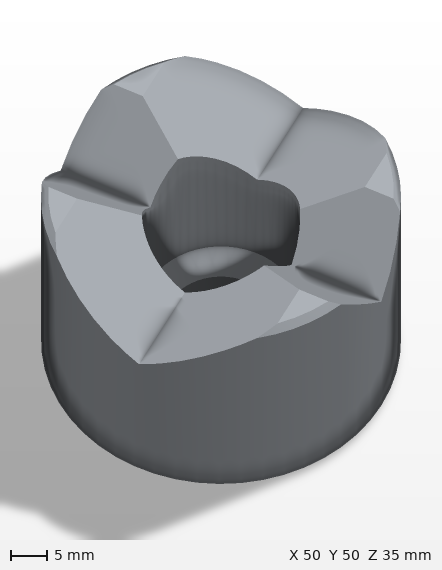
import cadquery as cq
import math

body_diameter = 50.0
body_height = 35.0
edge_chamfer = 1.0

groove_depth = 10.0
groove_angle_along_x = 90.0
groove_angle_along_y = 120.0

bore_diameter = 22.0
hole_diameter = 16.0
shoulder_angle = 90.0
shoulder_bottom_z = 5.0


def make_body():
    """Round post with both rims chamfered."""
    post = cq.Workplane("XY").circle(body_diameter / 2).extrude(body_height)
    return post.faces("<Z or >Z").edges().chamfer(edge_chamfer)


def make_groove(plane, included_angle):
    """V-shaped cutter, normal to the plane, with its vertex on the part axis."""
    half_width = groove_depth * math.tan(math.radians(included_angle / 2))
    vertex_z = body_height - groove_depth
    return (
        cq.Workplane(plane)
        .moveTo(0, vertex_z)
        .lineTo(half_width, body_height)
        .lineTo(-half_width, body_height)
        .close()
        .extrude(body_diameter, both=True)
    )


def make_stepped_hole():
    """Revolved cutter: wide bore from the top, cone, narrow hole out of the bottom."""
    bore_radius = bore_diameter / 2
    hole_radius = hole_diameter / 2
    shoulder_height = (bore_radius - hole_radius) / math.tan(math.radians(shoulder_angle / 2))
    shoulder_top_z = shoulder_bottom_z + shoulder_height
    return (
        cq.Workplane("XZ")
        .lineTo(hole_radius, 0)
        .lineTo(hole_radius, shoulder_bottom_z)
        .lineTo(bore_radius, shoulder_top_z)
        .lineTo(bore_radius, body_height)
        .lineTo(0, body_height)
        .close()
        .revolve(360, (0, 0, 0), (0, 1, 0))
    )


groove_along_x = make_groove("YZ", groove_angle_along_x)
groove_along_y = make_groove("XZ", groove_angle_along_y)

result = make_body().cut(groove_along_x).cut(groove_along_y).cut(make_stepped_hole())